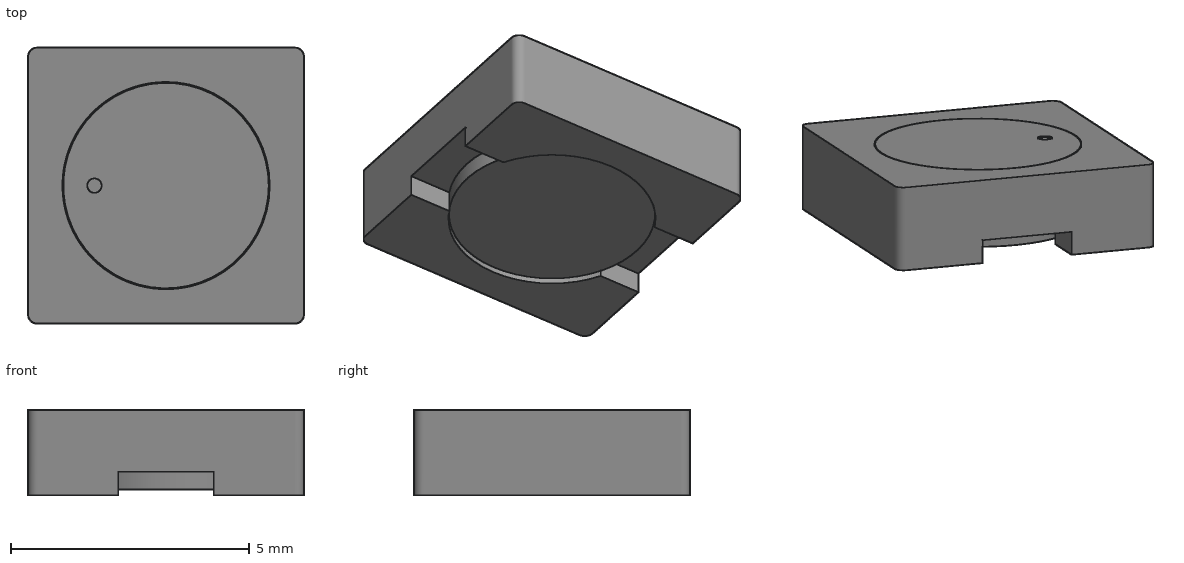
import cadquery as cq

shield_side = 5.8
shield_height = 1.8
corner_radius = 0.2
bore_diameter = 4.35

slot_width = 2.0
slot_height = 0.5

core_diameter = 4.32
core_bottom = 0.12
core_height = shield_height - core_bottom

dot_diameter = 0.3
dot_offset = 1.5
dot_depth = 0.03


def make_shield():
    block = (
        cq.Workplane("XY")
        .rect(shield_side, shield_side)
        .extrude(shield_height)
        .edges("|Z")
        .fillet(corner_radius)
    )
    bore = cq.Workplane("XY").circle(bore_diameter / 2).extrude(shield_height)
    slot = cq.Workplane("XY").rect(slot_width, shield_side).extrude(slot_height)
    return block.cut(bore).cut(slot)


def make_core():
    body = (
        cq.Workplane("XY")
        .workplane(offset=core_bottom)
        .circle(core_diameter / 2)
        .extrude(core_height)
    )
    dot = (
        cq.Workplane("XY")
        .workplane(offset=shield_height - dot_depth)
        .center(-dot_offset, 0)
        .circle(dot_diameter / 2)
        .extrude(dot_depth)
    )
    return body.cut(dot)


shield = make_shield()
core = make_core()

result = cq.Compound.makeCompound([shield.val(), core.val()])